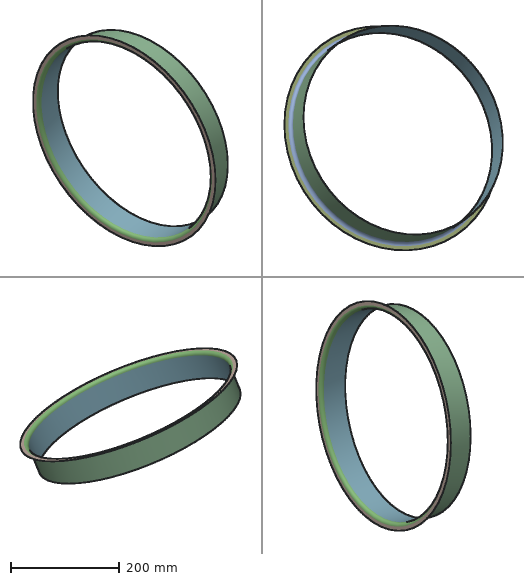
import cadquery as cq
import math

inner_diameter = 400.5
sheet_thickness = 0.5
flange_diameter = 430.5
total_length = 55.5
outer_bend_radius = 7.0

inner_radius = inner_diameter / 2
outer_radius = inner_radius + sheet_thickness
flange_radius = flange_diameter / 2
inner_bend_radius = outer_bend_radius - sheet_thickness
bend_center_radius = inner_radius + outer_bend_radius
bend_center_y = outer_bend_radius


def bend_point(bend_radius):
    """Midpoint of a quarter-circle bend arc, as (radius, y)."""
    offset = bend_radius * math.sqrt(0.5)
    return (bend_center_radius - offset, bend_center_y - offset)


def make_flanged_collar():
    """Thin sheet collar along Y, flared through a bend into a flat flange at Y = 0."""
    profile = (
        cq.Workplane("XY")
        .moveTo(inner_radius, total_length)
        .lineTo(inner_radius, bend_center_y)
        .threePointArc(bend_point(outer_bend_radius), (bend_center_radius, 0))
        .lineTo(flange_radius, 0)
        .lineTo(flange_radius, sheet_thickness)
        .lineTo(bend_center_radius, sheet_thickness)
        .threePointArc(bend_point(inner_bend_radius), (outer_radius, bend_center_y))
        .lineTo(outer_radius, total_length)
        .close()
    )
    return profile.revolve(360, (0, 0, 0), (0, 1, 0))


result = make_flanged_collar()